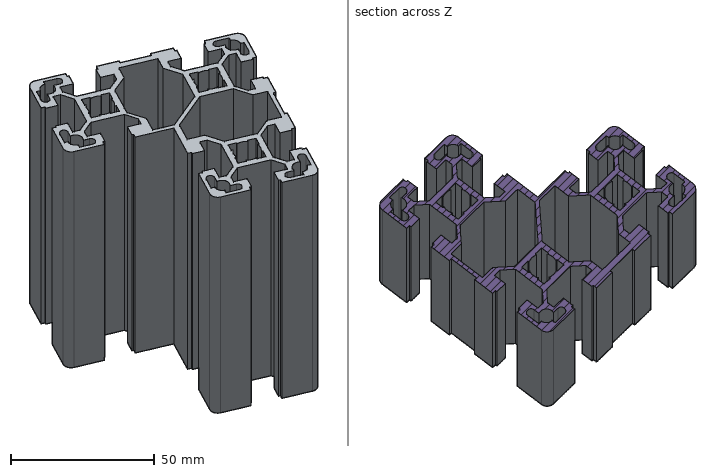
import cadquery as cq
import math

length = 100.0
cell = 40.0
half_cell = cell / 2
corner_radius = 3.0

mouth_half = 5.0
mouth_step_half = 5.7
mouth_step_depth = 1.5
lip_thickness = 6.05
slot_half = 10.0

core_half = 7.4
strut_offset = 1.2

bore_half = 5.15
pad_half_width = 2.0
pad_radius = 5.0

cavity_half_width = 7.25
outer_wall = 3.0
inner_wall = 2.0
upper_cavity_shift = 0.4
lower_cavity_shift = 0.45

groove_half_width = 5.8
groove_depth = 1.0

hollow_center = 5.6
hollow_radius = 2.7
leg_wall = 1.5
leg_width = 3.05
leg_end = 12.0

upper_left = (-half_cell, half_cell)
upper_right = (half_cell, half_cell)
lower_left = (-half_cell, -half_cell)

slots = [
    (upper_left, (90, 180)),
    (upper_right, (90, 0, 270)),
    (lower_left, (180, 270, 0)),
]

hollow_corners = [
    (upper_left, (90,)),
    (upper_right, (0, 270)),
    (lower_left, (180, 270)),
]


def prism(outline):
    """Extrude a closed outline over the full length of the profile."""
    return outline.extrude(length)


def place(body, center, angle):
    """Turn a body about the Z axis, then move it to a cell centre."""
    return body.rotate((0, 0, 0), (0, 0, 1), angle).translate((center[0], center[1], 0))


def make_blank():
    """Solid L, rounded at its five hollow corners."""
    blank = prism(
        cq.Workplane("XY").polyline([
            (-cell, -cell),
            (0, -cell),
            (0, 0),
            (cell, 0),
            (cell, cell),
            (-cell, cell),
        ]).close()
    )
    for center, angles in hollow_corners:
        for angle in angles:
            direction = math.radians(angle + 45)
            corner_x = center[0] + half_cell * math.copysign(1, math.cos(direction))
            corner_y = center[1] + half_cell * math.copysign(1, math.sin(direction))
            corner_edge = cq.selectors.NearestToPointSelector((corner_x, corner_y, length / 2))
            blank = blank.edges("|Z").edges(corner_edge).fillet(corner_radius)
    return blank


def make_slot():
    """T-slot opening toward +X from a cell centred at the origin."""
    step_x = half_cell - mouth_step_depth
    lip_x = half_cell - lip_thickness
    right_side = [
        (half_cell, -mouth_step_half),
        (step_x, -mouth_step_half),
        (step_x, -mouth_half),
        (lip_x, -mouth_half),
        (lip_x, -slot_half),
        (slot_half + strut_offset, -slot_half),
        (core_half, strut_offset - core_half),
    ]
    left_side = [(x, -y) for x, y in reversed(right_side)]
    return prism(cq.Workplane("XY").polyline(right_side + left_side).close())


def make_bore():
    """Square core bore with an arc pad on each side."""
    bore = prism(cq.Workplane("XY").rect(2 * bore_half, 2 * bore_half))
    pad_end_x = math.sqrt(pad_radius**2 - pad_half_width**2)
    pad = prism(
        cq.Workplane("XY")
        .moveTo(pad_end_x, -pad_half_width)
        .threePointArc((pad_radius, 0), (pad_end_x, pad_half_width))
        .lineTo(bore_half, pad_half_width)
        .lineTo(bore_half, -pad_half_width)
        .close()
    )
    for angle in (0, 90, 180, 270):
        bore = bore.cut(place(pad, (0, 0), angle))
    return bore


def make_upper_cavity():
    """Cavity between the two upper cores, bounded below by the diagonal web, before its shift."""
    core_x = half_cell - core_half
    high_y = cell - strut_offset
    return prism(
        cq.Workplane("XY").polyline([
            (-cavity_half_width, cell - outer_wall),
            (cavity_half_width, cell - outer_wall),
            (cavity_half_width, high_y - cavity_half_width),
            (core_x, high_y - core_x),
            (core_x, core_x + strut_offset),
            (cavity_half_width, cavity_half_width + strut_offset),
            (cavity_half_width, inner_wall),
            (strut_offset - inner_wall, inner_wall),
            (-core_x, core_x + strut_offset),
            (-core_x, high_y - core_x),
            (-cavity_half_width, high_y - cavity_half_width),
        ]).close()
    )


def make_groove():
    """Shallow groove in the upper outer face."""
    return cq.Workplane("XY").box(
        2 * groove_half_width, groove_depth, length, centered=(True, False, False)
    ).translate((0, cell - groove_depth, 0))


def mirror_across_web(body):
    """Mirror a body across the plane of the diagonal web, y = -x."""
    return body.mirror(cq.Vector(1, 1, 0), (0, 0, 0))


def make_corner_hollow():
    """Hollow for the +X+Y corner of a cell centred at the origin."""
    hole_xy = half_cell - hollow_center
    leg_low_x = half_cell - leg_wall - leg_width
    leg_high_x = half_cell - leg_wall
    end_y = half_cell - leg_end
    round_y = end_y + leg_width / 2
    hole = prism(cq.Workplane("XY").center(hole_xy, hole_xy).circle(hollow_radius))
    leg = prism(
        cq.Workplane("XY")
        .moveTo(leg_high_x, hole_xy)
        .lineTo(leg_low_x, hole_xy)
        .lineTo(leg_low_x, round_y)
        .threePointArc(((leg_low_x + leg_high_x) / 2, end_y), (leg_high_x, round_y))
        .close()
    )
    return hole.union(leg).union(leg.mirror(cq.Vector(1, -1, 0), (0, 0, 0)))


profile = make_blank()

slot = make_slot()
for center, angles in slots:
    for angle in angles:
        profile = profile.cut(place(slot, center, angle))

bore = make_bore()
for center in (upper_left, upper_right, lower_left):
    profile = profile.cut(place(bore, center, 0))

corner_hollow = make_corner_hollow()
for center, angles in hollow_corners:
    for angle in angles:
        profile = profile.cut(place(corner_hollow, center, angle))

groove = make_groove()
profile = profile.cut(groove).cut(mirror_across_web(groove))

cavity = make_upper_cavity()
profile = profile.cut(cavity.translate((0, upper_cavity_shift, 0)))
profile = profile.cut(mirror_across_web(cavity).translate((lower_cavity_shift, 0, 0)))

result = profile